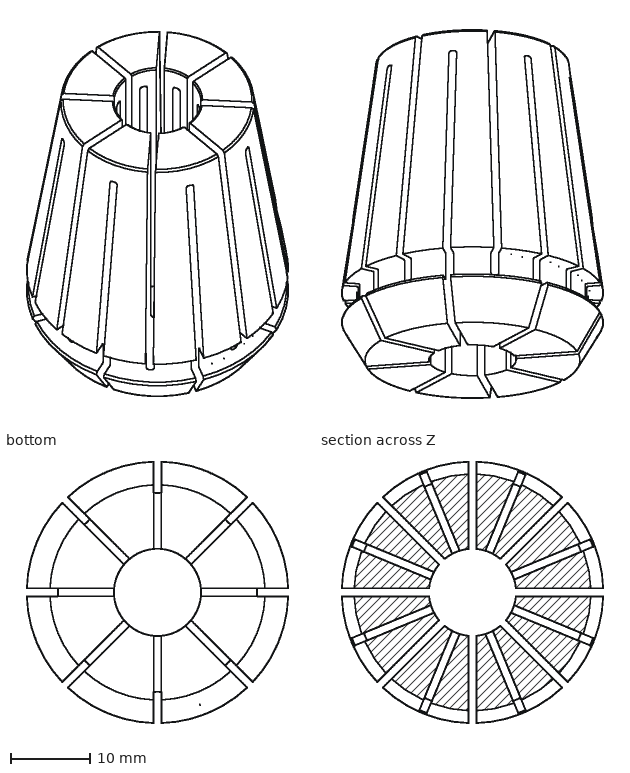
import cadquery as cq
import math

length = 40.0
max_radius = 16.5
bore_radius = 5.5
bore_chamfer = 0.2

nose_angle = 30.0
rim_height = 5.1
rim_bevel_width = 0.25
rim_bevel_height = 0.4
nose_radius = max_radius - rim_height * math.tan(math.radians(nose_angle))

groove_radius = 14.6
groove_bottom = rim_height + rim_bevel_height
groove_top = 9.05
groove_fillet = 0.15

taper_angle = 8.0
top_radius = max_radius - (length - groove_top) * math.tan(math.radians(taper_angle))
top_chamfer = 0.3

slots_per_end = 8
slot_width = 1.0
slot_corner_radius = 0.4
bottom_slot_end = 37.05
top_slot_end = 6.0
slot_pitch = 360.0 / slots_per_end


def collet_body():
    """Bored solid of revolution around Z."""
    chamfer_base = length - top_chamfer
    chamfer_base_radius = top_radius + top_chamfer * math.tan(math.radians(taper_angle))
    profile = (
        cq.Workplane("XZ")
        .moveTo(bore_radius, 0)
        .lineTo(nose_radius, 0)
        .lineTo(max_radius, rim_height)
        .lineTo(max_radius - rim_bevel_width, groove_bottom)
        .lineTo(groove_radius + groove_fillet, groove_bottom)
        .tangentArcPoint((-groove_fillet, groove_fillet))
        .lineTo(groove_radius, groove_top - groove_fillet)
        .tangentArcPoint((groove_fillet, groove_fillet))
        .lineTo(max_radius, groove_top)
        .lineTo(chamfer_base_radius, chamfer_base)
        .lineTo(chamfer_base_radius - top_chamfer, length)
        .lineTo(bore_radius + bore_chamfer, length)
        .lineTo(bore_radius, length - bore_chamfer)
        .close()
    )
    return profile.revolve(360, (0, 0), (0, 1))


def radial_slot(open_end, closed_end, angle):
    """Cutter running outwards from the axis, with rounded corners at its closed end."""
    cutter = cq.Workplane("XY").box(
        max_radius + slot_width,
        slot_width,
        abs(closed_end - open_end),
        centered=(False, True, False),
    )
    closed_face = ">Z" if closed_end > open_end else "<Z"
    return (
        cutter.faces(closed_face)
        .edges("|X")
        .fillet(slot_corner_radius)
        .translate((0, 0, min(open_end, closed_end)))
        .rotate((0, 0, 0), (0, 0, 1), angle)
    )


result = collet_body()
for index in range(slots_per_end):
    bottom_angle = index * slot_pitch
    top_angle = bottom_angle + slot_pitch / 2
    result = result.cut(radial_slot(0, bottom_slot_end, bottom_angle))
    result = result.cut(radial_slot(length, top_slot_end, top_angle))